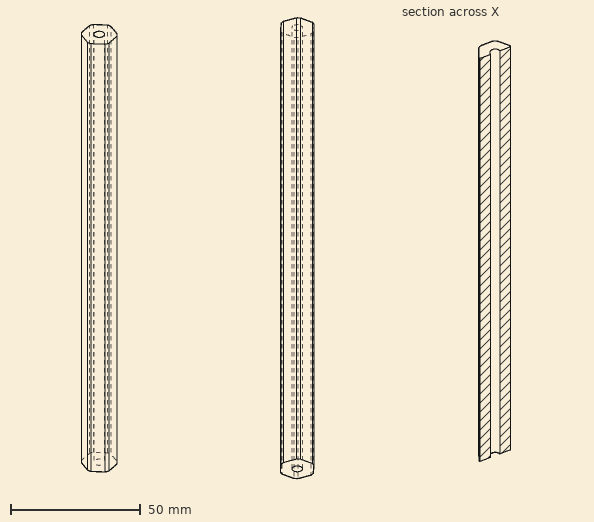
import cadquery as cq
import math

length = 203.2
across_flats = length / 16
corner_diameter = 13.8
bore_diameter = 4.0

sharp_corner_diameter = across_flats / math.cos(math.pi / 6)


def rounded_hexagon_bar():
    """Hexagonal bar, flats facing +X and -X, corners turned down to a cylinder."""
    hexagon = (
        cq.Workplane("XY")
        .polygon(6, sharp_corner_diameter)
        .extrude(length)
        .rotate((0, 0, 0), (0, 0, 1), 30)
    )
    corner_cylinder = cq.Workplane("XY").circle(corner_diameter / 2).extrude(length)
    return hexagon.intersect(corner_cylinder)


def axial_bore():
    """Cylinder removed along the whole shaft axis."""
    return cq.Workplane("XY").circle(bore_diameter / 2).extrude(length)


result = rounded_hexagon_bar().cut(axial_bore())